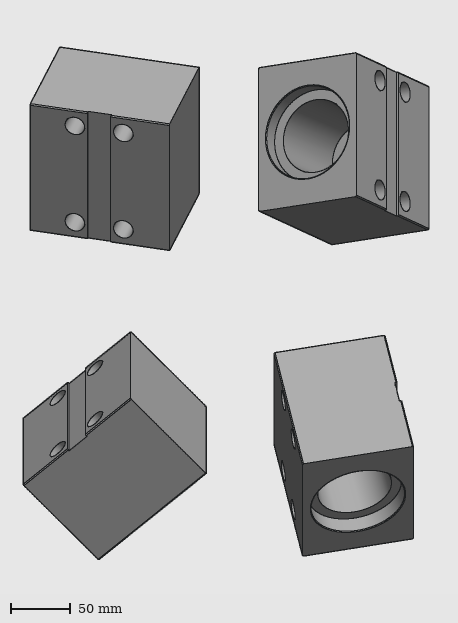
import cadquery as cq

length = 121.0
depth = 95.0
height = 125.0
edge_chamfer = 1.0

bore_diameter = 63.0
bore_depth = 96.0
counterbore_diameter = 80.0
counterbore_depth = 14.0
mouth_chamfer = 0.8

keyway_centre_x = 60.0
keyway_width = 20.0
keyway_depth = 2.0
bolt_diameter = 17.0
bolt_spacing_x = 42.0
bolt_spacing_z = 95.0


def make_block():
    """Rectangular block with its four long edges chamfered."""
    block = cq.Workplane("XY").box(length, depth, height, centered=(False, True, True))
    return block.edges("|X").chamfer(edge_chamfer)


def make_bore():
    """Bore, counterbore and bevelled mouth, as one solid of revolution about X."""
    bore_radius = bore_diameter / 2
    counterbore_radius = counterbore_diameter / 2
    half_profile = [
        (0, 0),
        (0, counterbore_radius + mouth_chamfer),
        (mouth_chamfer, counterbore_radius),
        (counterbore_depth, counterbore_radius),
        (counterbore_depth, bore_radius),
        (bore_depth, bore_radius),
        (bore_depth, 0),
    ]
    return cq.Workplane("XY").polyline(half_profile).close().revolve(360, (0, 0, 0), (1, 0, 0))


def make_keyway():
    """Shallow rectangular channel running the full height of the -Y face."""
    channel = cq.Workplane("XY").box(keyway_width, 2 * keyway_depth, height)
    return channel.translate((keyway_centre_x, -depth / 2, 0))


def make_bolt_holes():
    """Four cylinders passing through the block along Y."""
    return (
        cq.Workplane("XZ", origin=(keyway_centre_x, 0, 0))
        .rarray(bolt_spacing_x, bolt_spacing_z, 2, 2)
        .circle(bolt_diameter / 2)
        .extrude(depth / 2, both=True)
    )


result = make_block().cut(make_bore()).cut(make_keyway()).cut(make_bolt_holes())